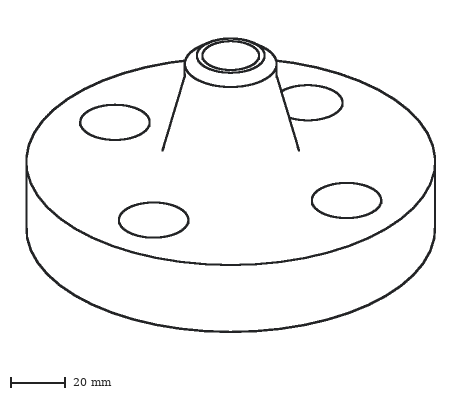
import cadquery as cq

flange_diameter = 149.3
flange_thickness = 28.4
raised_face_diameter = 50.8
raised_face_height = 6.3

overall_height = 79.5
hub_base_diameter = 51.7
neck_diameter = 33.6
neck_straight_height = 6.0
bevel_height = 3.5
tip_diameter = 24.8
hub_fillet_radius = 3.6
bore_diameter = 20.8

bolt_hole_count = 4
bolt_hole_diameter = 25.4
bolt_circle_diameter = 101.5

selection_margin = 0.1

flange_bottom = raised_face_height
flange_top = flange_bottom + flange_thickness
bevel_bottom = overall_height - bevel_height
taper_top = bevel_bottom - neck_straight_height


def flange_disc():
    """Plain disc with the raised face below it; Z = 0 is the sealing face."""
    raised_face = cq.Workplane("XY").circle(raised_face_diameter / 2).extrude(flange_bottom)
    disc = (
        cq.Workplane("XY", origin=(0, 0, flange_bottom))
        .circle(flange_diameter / 2)
        .extrude(flange_thickness)
    )
    return raised_face.union(disc)


def welding_neck():
    """Half profile of the neck, revolved about Z."""
    return (
        cq.Workplane("XZ")
        .moveTo(0, flange_top)
        .lineTo(hub_base_diameter / 2, flange_top)
        .lineTo(neck_diameter / 2, taper_top)
        .lineTo(neck_diameter / 2, bevel_bottom)
        .lineTo(tip_diameter / 2, overall_height)
        .lineTo(0, overall_height)
        .close()
        .revolve(360, (0, 0, 0), (0, 1, 0))
    )


def hub_root_edge(body):
    """Circle where the tapered hub meets the top of the flange."""
    reach = hub_base_diameter / 2 + selection_margin
    root_zone = cq.selectors.BoxSelector(
        (-reach, -reach, flange_top - selection_margin),
        (reach, reach, flange_top + selection_margin),
        boundingbox=True,
    )
    return body.edges(root_zone)


body = flange_disc().union(welding_neck())
body = hub_root_edge(body).fillet(hub_fillet_radius)

bore = cq.Workplane("XY").circle(bore_diameter / 2).extrude(overall_height)
bolt_holes = (
    cq.Workplane("XY")
    .polarArray(bolt_circle_diameter / 2, 0, 360, bolt_hole_count)
    .circle(bolt_hole_diameter / 2)
    .extrude(flange_top)
)

result = body.cut(bore).cut(bolt_holes)